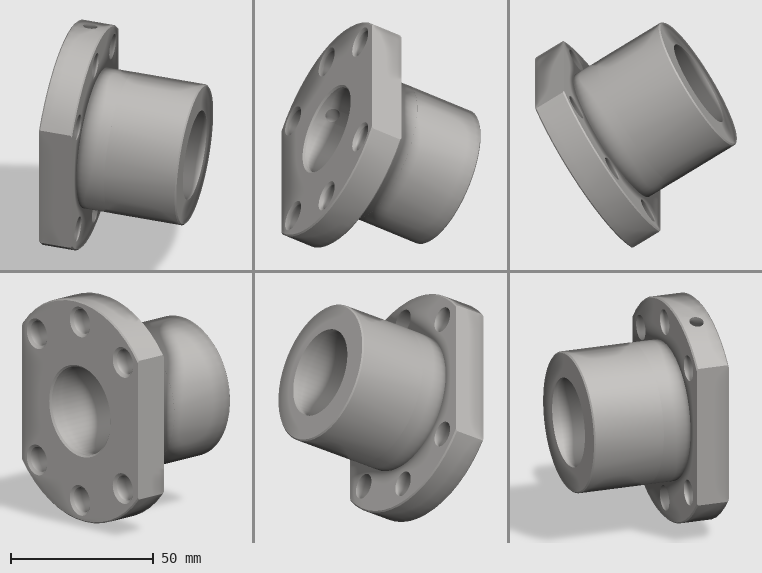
import cadquery as cq
import math

flange_diameter = 80
flange_thickness = 12
flange_width = 62.0
total_length = 48
body_diameter = 50.0
fit_length = 26.0
fit_relief = 0.1
bore_diameter = 31.7
edge_chamfer = 0.5
bore_chamfer = 0.6

bolt_circle_diameter = 65.0
bolt_hole_diameter = 9.0
bolt_hole_chamfer = 1.0
bolt_angles = [45, 90, 135, 225, 270, 315]

oil_hole_diameter = 5.0
oil_hole_angle = 22.5


def cylinder(start, length, diameter):
    """Solid cylinder about the X axis, starting at X = start."""
    return cq.Workplane("YZ", origin=(start, 0, 0)).circle(diameter / 2).extrude(length)


def make_flange():
    """Disc with chamfered rims and two parallel flats facing +Y and -Y."""
    disc = cylinder(0, flange_thickness, flange_diameter).edges().chamfer(edge_chamfer)
    envelope = cq.Workplane("XY").box(2 * flange_thickness, flange_width, flange_diameter)
    return disc.intersect(envelope)


def make_body():
    """Neck next to the flange followed by the slightly larger seat."""
    fit_start = total_length - fit_length
    neck = cylinder(0, fit_start, body_diameter - fit_relief)
    seat = cylinder(fit_start, fit_length, body_diameter).faces(">X").edges().chamfer(edge_chamfer)
    return neck.union(seat)


def countersunk_hole(y, z, diameter, length, chamfer):
    """Cutter along X from X = 0, with a 45 degree countersink at that end."""
    radius = diameter / 2
    profile = [
        (0, 0),
        (0, radius + chamfer),
        (chamfer, radius),
        (length, radius),
        (length, 0),
    ]
    cutter = cq.Workplane("XY").polyline(profile).close().revolve(360, (0, 0, 0), (1, 0, 0))
    return cutter.translate((0, y, z))


def make_oil_hole():
    """Radial cutter from the flange rim into the bore."""
    hole = cq.Workplane("XY").circle(oil_hole_diameter / 2).extrude(flange_diameter)
    hole = hole.rotate((0, 0, 0), (1, 0, 0), -oil_hole_angle)
    return hole.translate((flange_thickness / 2, 0, 0))


result = make_flange().union(make_body())
result = result.cut(countersunk_hole(0, 0, bore_diameter, total_length, bore_chamfer))

for angle in bolt_angles:
    bolt_y = bolt_circle_diameter / 2 * math.cos(math.radians(angle))
    bolt_z = bolt_circle_diameter / 2 * math.sin(math.radians(angle))
    result = result.cut(
        countersunk_hole(bolt_y, bolt_z, bolt_hole_diameter, flange_thickness, bolt_hole_chamfer)
    )

result = result.cut(make_oil_hole())